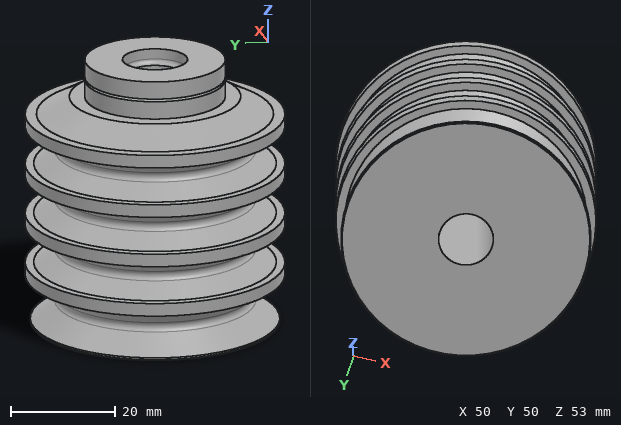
import cadquery as cq

total_height = 53.0
rib_radius = 50.0 / 2
lip_radius = 48.0 / 2
collar_radius = 27.05 / 2

collar_height = 7.5
groove_top = total_height - 3.5
groove_height = 0.55
groove_root_radius = 19.0 / 2

rib_count = 4
rib_pitch = 10.0
rib_height = 2.55
lowest_rib_bottom = 9.4
rib_shoulder_radius = 23.3
neck_radius = 18.85
neck_edge_radius = 19.35
neck_height = 1.9
neck_drop = 2.8
lowest_neck_drop = 3.2
crown_radius = 16.5
crown_shoulder_radius = 22.8

lip_edge_height = 0.6
lip_edge_bevel = 0.2

bore_radius = 10.5 / 2
counterbore_radius = 12.5 / 2
counterbore_depth = 2.0
shoulder_round = counterbore_radius - bore_radius


def make_bellows():
    """Solid of revolution with the collar, ribs, rounded necks and lip."""
    crown_height = total_height - collar_height
    groove_bottom = groove_top - groove_height
    groove_edge_radius = groove_root_radius + groove_height / 2
    profile = (
        cq.Workplane("XZ")
        .moveTo(0, total_height)
        .lineTo(collar_radius, total_height)
        .lineTo(collar_radius, groove_top)
        .lineTo(groove_edge_radius, groove_top)
        .threePointArc(
            (groove_root_radius, groove_top - groove_height / 2),
            (groove_edge_radius, groove_bottom),
        )
        .lineTo(collar_radius, groove_bottom)
        .lineTo(collar_radius, crown_height)
        .lineTo(crown_radius, crown_height)
    )
    for rib in reversed(range(rib_count)):
        rib_bottom = lowest_rib_bottom + rib * rib_pitch
        rib_top = rib_bottom + rib_height
        is_top_rib = rib == rib_count - 1
        shoulder = crown_shoulder_radius if is_top_rib else rib_shoulder_radius
        neck_top = rib_bottom - (lowest_neck_drop if rib == 0 else neck_drop)
        neck_bottom = neck_top - neck_height
        profile = (
            profile.lineTo(shoulder, rib_top)
            .lineTo(rib_radius, rib_top)
            .lineTo(rib_radius, rib_bottom)
            .lineTo(rib_shoulder_radius, rib_bottom)
            .lineTo(neck_edge_radius, neck_top)
            .threePointArc(
                (neck_radius, neck_top - neck_height / 2),
                (neck_edge_radius, neck_bottom),
            )
        )
    profile = (
        profile.lineTo(lip_radius, lip_edge_height)
        .lineTo(lip_radius, lip_edge_bevel)
        .lineTo(lip_radius - lip_edge_bevel, 0)
        .lineTo(0, 0)
        .close()
    )
    return profile.revolve(360, (0, 0, 0), (0, 1, 0))


def make_bore():
    """Through bore with a counterbore that curves in to it."""
    counterbore_floor = total_height - counterbore_depth
    shoulder_bottom = counterbore_floor - shoulder_round
    return (
        cq.Workplane("XZ")
        .moveTo(0, 0)
        .lineTo(bore_radius, 0)
        .lineTo(bore_radius, shoulder_bottom)
        .radiusArc((counterbore_radius, counterbore_floor), -shoulder_round)
        .lineTo(counterbore_radius, total_height)
        .lineTo(0, total_height)
        .close()
        .revolve(360, (0, 0, 0), (0, 1, 0))
    )


result = make_bellows().cut(make_bore())